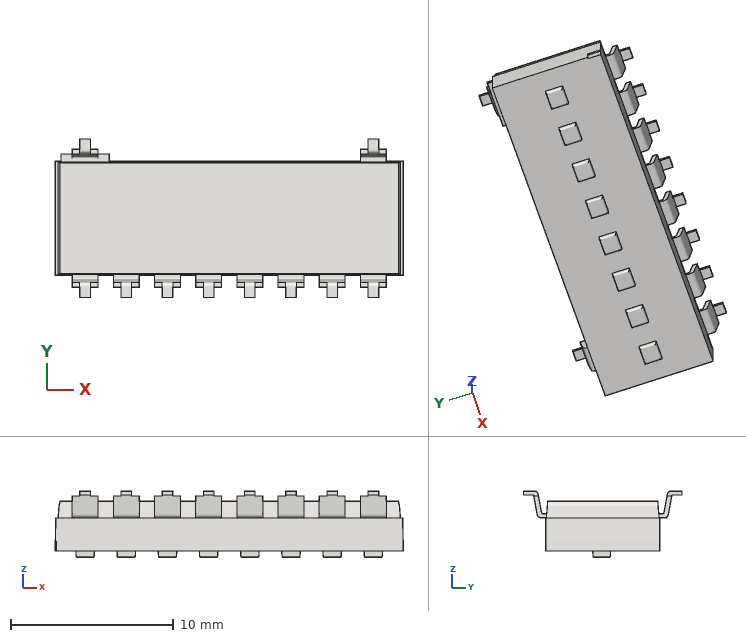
import cadquery as cq

case_length = 21.48
case_width = 7.05
case_height = 2.06
case_top_length = 21.42
end_band_height = 0.6

relief_depth = 0.09
relief_width = 0.84

cover_length = 21.14
cover_bevel_length = 21.03
cover_top_length = 20.88
cover_width = 6.95
cover_top_width = 6.8
cover_bevel_height = 2.77
cover_top_height = 3.1

lead_count = 8
lead_span = 17.79
lead_pitch = lead_span / (lead_count - 1)
lead_thickness = 0.25
lead_top = 3.72
lead_reach = 4.9
shoulder_width = 1.61
shoulder_top = 3.42
foot_width = 0.67
knee_reach = 4.02
ankle_reach = 4.02
knee_inner_reach = knee_reach - lead_thickness
ankle_outer_reach = ankle_reach + lead_thickness
outer_bend_radius = 0.24
inner_knee_radius = 0.06

tab_width = 2.99
tab_reach = 3.97

knob_width = 1.15
knob_length = 1.12
knob_height = 0.39
knob_offset = -0.06
knob_taper = 3.0
knob_edge_radius = 0.1

lead_positions = [index * lead_pitch - lead_span / 2 for index in range(lead_count)]


def make_case():
    half_length = case_length / 2
    half_top = case_top_length / 2
    outline = [
        (-half_length, 0),
        (half_length, 0),
        (half_length, end_band_height),
        (half_top, case_height),
        (-half_top, case_height),
        (-half_length, end_band_height),
    ]
    case = cq.Workplane("XZ").polyline(outline).close().extrude(case_width / 2, both=True)
    relief = cq.Workplane("XY").box(relief_depth, relief_width, end_band_height, centered=False)
    return case.cut(relief.translate((-half_length, -case_width / 2, 0)))


def make_cover():
    half_length = cover_length / 2
    half_bevel = cover_bevel_length / 2
    half_top = cover_top_length / 2
    end_outline = [
        (-half_length, case_height),
        (half_length, case_height),
        (half_bevel, cover_bevel_height),
        (half_top, cover_top_height),
        (-half_top, cover_top_height),
        (-half_bevel, cover_bevel_height),
    ]
    side_outline = [
        (-cover_width / 2, case_height),
        (cover_width / 2, case_height),
        (cover_top_width / 2, cover_top_height),
        (-cover_top_width / 2, cover_top_height),
    ]
    drafted_ends = cq.Workplane("XZ").polyline(end_outline).close().extrude(cover_width / 2, both=True)
    drafted_sides = cq.Workplane("YZ").polyline(side_outline).close().extrude(cover_length / 2, both=True)
    return drafted_ends.intersect(drafted_sides)


def make_front_lead():
    base_top = case_height + lead_thickness
    foot_bottom = lead_top - lead_thickness
    outline = [
        (0, case_height),
        (-knee_reach, case_height),
        (-ankle_outer_reach, foot_bottom),
        (-lead_reach, foot_bottom),
        (-lead_reach, lead_top),
        (-ankle_reach, lead_top),
        (-knee_inner_reach, base_top),
        (0, base_top),
    ]
    strip = cq.Workplane("YZ").polyline(outline).close().extrude(shoulder_width / 2, both=True)
    inner_knee_edge = cq.selectors.NearestToPointSelector((0, -knee_inner_reach, base_top))
    knee_edge = cq.selectors.NearestToPointSelector((0, -knee_reach, case_height))
    ankle_edge = cq.selectors.NearestToPointSelector((0, -ankle_reach, lead_top))
    strip = strip.edges(knee_edge).fillet(outer_bend_radius)
    strip = strip.edges(ankle_edge).fillet(outer_bend_radius)
    strip = strip.edges(inner_knee_edge).fillet(inner_knee_radius)
    on_base = (True, True, False)
    shoulder_zone = cq.Workplane("XY").box(shoulder_width, 2 * lead_reach, shoulder_top, centered=on_base)
    foot_zone = cq.Workplane("XY").box(foot_width, 2 * lead_reach, lead_top, centered=on_base)
    return strip.intersect(shoulder_zone.union(foot_zone))


def make_tab():
    tab = cq.Workplane("XY").box(tab_width, tab_reach, lead_thickness, centered=(True, False, False))
    return tab.translate((lead_positions[0], 0, case_height))


def make_knob():
    return (
        cq.Workplane("XY", origin=(0, knob_offset, 0))
        .rect(knob_width, knob_length)
        .extrude(-knob_height, taper=knob_taper)
        .faces("<Z")
        .edges()
        .fillet(knob_edge_radius)
    )


front_lead = make_front_lead()
rear_lead = front_lead.mirror("XZ")
knob = make_knob()

result = make_case().union(make_cover()).union(make_tab())
for x in lead_positions:
    result = result.union(front_lead.translate((x, 0, 0)))
    result = result.union(knob.translate((x, 0, 0)))
for x in (lead_positions[0], lead_positions[-1]):
    result = result.union(rear_lead.translate((x, 0, 0)))